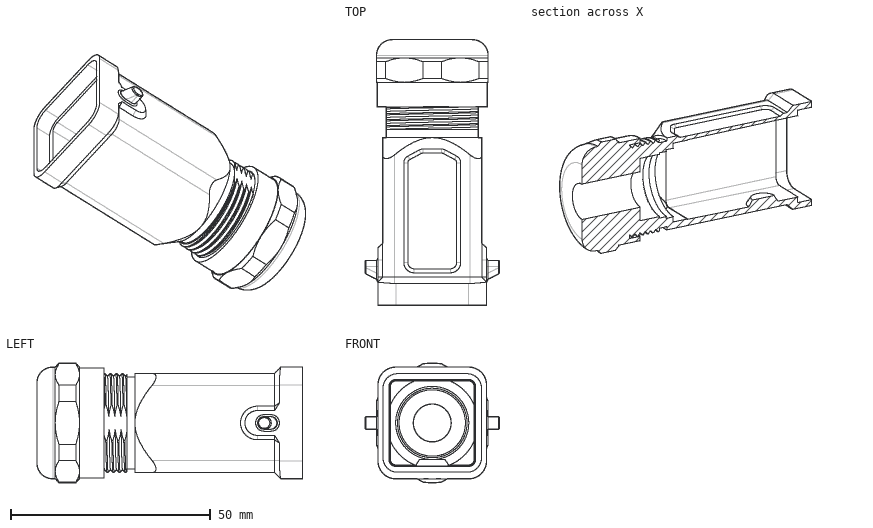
import cadquery as cq
import math


LEDGE_Y = 4.0
SHOULDER_Y = 7.05
CAVITY_NECK_Y = 36.0
CAVITY_END_Y = 40.0
HOOD_END_Y = 41.95
THREAD_START_Y = 43.95
NUT_START_Y = 49.65
THREAD_END_Y = 52.65
HEX_START_Y = 55.8
HEX_END_Y = 61.9
TOTAL_LENGTH = 66.5

BODY_SIDE = 24.8
BODY_CORNER_R = 3.0
FLANGE_WIDTH = 27.2
FLANGE_HEIGHT = 28.0
FLANGE_CORNER_R = 4.5
SHOULDER_ANGLE = 45.0
CONE_RUN_PER_RISE = 1.35

MOUTH_SIDE = 24.65
MOUTH_CORNER_R = 3.6
CAVITY_SIDE = 21.8
CAVITY_CORNER_R = 1.8
CAVITY_REAR_SIDE = 21.2
CAVITY_NECK_SIDE = 21.0
CAVITY_END_R = 11.4
GLAND_BORE_DIAMETERS = (18.3, 17.4, 16.6)
GLAND_STEP_LENGTH = 2.0
GLAND_STOP_Y = 49.6
CABLE_HOLE_D = 9.4

BOSS_BASE_D = 8.7
BOSS_TOP_D = 6.3
BOSS_HEIGHT = 1.8
BOSS_Y = 14.0

PAD_Y = 11.35
PAD_BASE_R = 4.2
PAD_TOP_R = 3.1
PAD_SPREAD = 1.9
PIN_SPAN = 33.7
PIN_Y = 9.7
PIN_D = 3.15
PIN_TIP_FLAT = 0.15
PIN_ROOT_FLAT = 1.8
PIN_TIP_CHAMFER = 0.25
PIN_FLARE = 0.5
PIN_FLARE_HEIGHT = 0.3

LABEL_WIDTH = 14.25
LABEL_START_Y = 8.15
LABEL_END_Y = 39.1
LABEL_DEPTH = 0.6
LABEL_SLOPE = 1.0
LABEL_CORNER_X = 4.3
LABEL_CORNER_Y = 2.3
LABEL_START_FILLET = 2.6
LABEL_END_FILLET = 2.0

NECK_D = 23.1
THREAD_D = 24.75
THREAD_ROOT_R = 11.67
THREAD_PITCH = 1.5
GROOVE_HALF_WIDTH = 0.6
GROOVE_OVERSIZE = 1.1
GROOVE_LEAD_TURNS = 1.5

NUT_FLATS = 28.0
NUT_CORNERS_D = 30.0
NUT_CHAMFER_LENGTH = 0.95
NUT_CHAMFER_DEPTH = 1.0
DOME_D = 28.0
DOME_FILLET = 4.0
COLLAR_D = 27.6
COLLAR_BORE_D = 25.0

OVERSHOOT = 1.0


def section(y):
    """Workplane across the axis at y, with local x = X, local y = Z, normal = -Y."""
    return cq.Workplane("XZ", origin=(0, y, 0))


def cylinder(diameter, y_start, y_end):
    return section(y_start).circle(diameter / 2).extrude(y_start - y_end)


def rounded_prism(width, height, corner_r, y_start, y_end):
    prism = section(y_start).rect(width, height).extrude(y_start - y_end)
    return prism.edges("|Y").fillet(corner_r)


def coned_envelope(side, end_r, end_y):
    """Round bar enclosing a square of the given side, coned down to end_r at end_y."""
    widest_r = side / math.sqrt(2)
    cone_y = end_y - (widest_r - end_r) * CONE_RUN_PER_RISE
    profile = cq.Workplane("XY").polyline([
        (0, 0),
        (widest_r, 0),
        (widest_r, cone_y),
        (end_r, end_y),
        (0, end_y),
    ])
    return profile.close().revolve(360, (0, 0, 0), (0, 1, 0))


def rounded_square_sketch(side, corner_r):
    return cq.Sketch().rect(side, side).vertices().fillet(corner_r)


def make_body():
    """Square hood body with its rear corners coned off."""
    body = rounded_prism(BODY_SIDE, BODY_SIDE, BODY_CORNER_R, 0, HOOD_END_Y)
    return body.intersect(coned_envelope(BODY_SIDE, BODY_SIDE / 2, HOOD_END_Y))


def make_flange():
    """Mouth flange, tapering down to the body at its rear shoulder."""
    flange = rounded_prism(FLANGE_WIDTH, FLANGE_HEIGHT, FLANGE_CORNER_R, 0, SHOULDER_Y)
    taper = (
        section(SHOULDER_Y)
        .placeSketch(rounded_square_sketch(BODY_SIDE, BODY_CORNER_R))
        .extrude(SHOULDER_Y, taper=-SHOULDER_ANGLE)
    )
    return flange.intersect(taper)


def make_cavity():
    """Mouth recess, tapering chamber, slightly narrower straight neck and coned rear end."""
    shrink = (CAVITY_SIDE - CAVITY_REAR_SIDE) / 2
    draft = math.degrees(math.atan2(shrink, CAVITY_NECK_Y))
    neck_corner_r = CAVITY_CORNER_R - (CAVITY_SIDE - CAVITY_NECK_SIDE) / 2
    mouth = rounded_prism(MOUTH_SIDE, MOUTH_SIDE, MOUTH_CORNER_R, -OVERSHOOT, LEDGE_Y)
    chamber = (
        section(0)
        .placeSketch(rounded_square_sketch(CAVITY_SIDE, CAVITY_CORNER_R))
        .extrude(-CAVITY_NECK_Y, taper=draft)
    )
    neck_start = CAVITY_NECK_Y - OVERSHOOT
    cavity_neck = rounded_prism(CAVITY_NECK_SIDE, CAVITY_NECK_SIDE, neck_corner_r, neck_start, CAVITY_END_Y)
    envelope = coned_envelope(CAVITY_SIDE, CAVITY_END_R, CAVITY_END_Y)
    return mouth.union(chamber.union(cavity_neck).intersect(envelope))


def make_cable_passage():
    """Cable hole through the nut, with the stepped gland bore in front of it."""
    passage = cylinder(CABLE_HOLE_D, CAVITY_END_Y - OVERSHOOT, TOTAL_LENGTH + OVERSHOOT)
    step_y = CAVITY_END_Y
    for diameter in GLAND_BORE_DIAMETERS[:-1]:
        passage = passage.union(cylinder(diameter, CAVITY_END_Y, step_y + GLAND_STEP_LENGTH))
        step_y += GLAND_STEP_LENGTH
    return passage.union(cylinder(GLAND_BORE_DIAMETERS[-1], CAVITY_END_Y, GLAND_STOP_Y))


def make_floor_boss():
    """Conical boss, its foot buried half way through the cavity wall."""
    wall = (BODY_SIDE - CAVITY_SIDE) / 2
    foot_z = -(BODY_SIDE - wall) / 2
    foot_to_top = wall / 2 + BOSS_HEIGHT
    foot_d = BOSS_TOP_D + (BOSS_BASE_D - BOSS_TOP_D) * foot_to_top / BOSS_HEIGHT
    return (
        cq.Workplane("XY", origin=(0, BOSS_Y, foot_z))
        .circle(foot_d / 2)
        .workplane(offset=foot_to_top)
        .circle(BOSS_TOP_D / 2)
        .loft(ruled=True)
    )


def make_pad():
    """Raised pad on the +X side: half round at the rear, spreading into the flange shoulder."""
    height = (FLANGE_WIDTH - BODY_SIDE) / 2
    shoulder_y = SHOULDER_Y - PAD_Y
    flange_y = shoulder_y - height
    buried_y = flange_y - height

    def outline(plane, radius):
        return (
            plane.moveTo(shoulder_y, -radius)
            .lineTo(0, -radius)
            .threePointArc((radius, 0), (0, radius))
            .lineTo(shoulder_y, radius)
            .lineTo(flange_y, radius + PAD_SPREAD)
            .lineTo(buried_y, radius + PAD_SPREAD)
            .lineTo(buried_y, -radius - PAD_SPREAD)
            .lineTo(flange_y, -radius - PAD_SPREAD)
            .close()
        )

    base = outline(cq.Workplane("YZ", origin=(BODY_SIDE / 2, PAD_Y, 0)), PAD_BASE_R)
    return outline(base.workplane(offset=height), PAD_TOP_R).loft(ruled=True)


def slot_frustum(base_x, base_flat, base_d, height, end_flat, end_d):
    """Ruled solid along +X between two slots whose rear arcs are centred at PIN_Y."""
    return (
        cq.Workplane("YZ", origin=(base_x, PIN_Y - base_flat / 2, 0))
        .slot2D(base_flat + base_d, base_d)
        .workplane(offset=height)
        .center((base_flat - end_flat) / 2, 0)
        .slot2D(end_flat + end_d, end_d)
        .loft(ruled=True)
    )


def make_pin():
    """Locking pin on the +X side: near round at the tip, its front flank sloping to a longer root."""
    root_x = FLANGE_WIDTH / 2
    pin = slot_frustum(root_x, PIN_ROOT_FLAT, PIN_D, PIN_SPAN / 2 - root_x, PIN_TIP_FLAT, PIN_D)
    pin = pin.faces(">X").chamfer(PIN_TIP_CHAMFER)
    flare_d = PIN_D + 2 * PIN_FLARE
    flare = slot_frustum(root_x, PIN_ROOT_FLAT, flare_d, PIN_FLARE_HEIGHT, PIN_ROOT_FLAT, PIN_D)
    return pin.union(flare)


def make_label_recess():
    """Shallow recess with sloping walls and two clipped corners towards the cable end."""
    half = LABEL_WIDTH / 2
    outline = (
        cq.Sketch()
        .polygon([
            (-half, LABEL_START_Y),
            (half, LABEL_START_Y),
            (half, LABEL_END_Y - LABEL_CORNER_Y),
            (half - LABEL_CORNER_X, LABEL_END_Y),
            (LABEL_CORNER_X - half, LABEL_END_Y),
            (-half, LABEL_END_Y - LABEL_CORNER_Y),
            (-half, LABEL_START_Y),
        ])
        .vertices("not <Y")
        .fillet(LABEL_END_FILLET)
        .reset()
        .vertices("<Y")
        .fillet(LABEL_START_FILLET)
        .reset()
    )
    wall_angle = math.degrees(math.atan2(LABEL_SLOPE, LABEL_DEPTH))
    surface = cq.Workplane("XY", origin=(0, 0, BODY_SIDE / 2))
    return surface.placeSketch(outline).extrude(-LABEL_DEPTH, taper=wall_angle)


def make_thread():
    """Right-hand thread whose two sides are cut flat, level with the neck."""
    blank = cylinder(THREAD_D, THREAD_START_Y, THREAD_END_Y)
    lead = GROOVE_LEAD_TURNS * THREAD_PITCH
    helix_length = THREAD_END_Y - THREAD_START_Y + 2 * lead
    depth = THREAD_D / 2 - THREAD_ROOT_R
    helix = cq.Wire.makeHelix(THREAD_PITCH, helix_length, THREAD_ROOT_R)
    groove = (
        cq.Workplane("XZ", origin=(THREAD_ROOT_R, 0, 0))
        .polyline([
            (0, 0),
            (GROOVE_OVERSIZE * depth, GROOVE_OVERSIZE * GROOVE_HALF_WIDTH),
            (GROOVE_OVERSIZE * depth, -GROOVE_OVERSIZE * GROOVE_HALF_WIDTH),
        ])
        .close()
        .sweep(cq.Workplane(helix), isFrenet=True)
    )
    groove = groove.rotate((0, 0, 0), (1, 0, 0), -90).translate((0, THREAD_START_Y - lead, 0))
    side_flats = section(THREAD_START_Y).rect(NECK_D, THREAD_D).extrude(THREAD_START_Y - THREAD_END_Y)
    return blank.cut(groove).intersect(side_flats)


def make_nut():
    """Domed hexagon nut; its collar is bored to clear the end of the thread."""
    collar = cylinder(COLLAR_D, NUT_START_Y, HEX_START_Y)
    collar = collar.cut(cylinder(COLLAR_BORE_D, NUT_START_Y - OVERSHOOT, THREAD_END_Y))
    dome = cylinder(DOME_D, HEX_END_Y, TOTAL_LENGTH).faces(">Y").edges().fillet(DOME_FILLET)
    hexagon = (
        section(HEX_START_Y)
        .polygon(6, NUT_FLATS, circumscribed=True)
        .extrude(HEX_START_Y - HEX_END_Y)
    )
    rounding = cylinder(NUT_CORNERS_D, HEX_START_Y, HEX_END_Y)
    rounding = rounding.edges().chamfer(NUT_CHAMFER_LENGTH, NUT_CHAMFER_DEPTH)
    return collar.union(hexagon.intersect(rounding)).union(dome)


hood = make_body().union(make_flange())
pad_and_pin = make_pad().union(make_pin())
hood = hood.union(pad_and_pin).union(pad_and_pin.mirror("YZ"))
hood = hood.cut(make_label_recess())
hood = hood.cut(make_cavity()).union(make_floor_boss())

neck = cylinder(NECK_D, HOOD_END_Y, THREAD_START_Y)
result = hood.union(neck).union(make_thread()).union(make_nut()).cut(make_cable_passage())